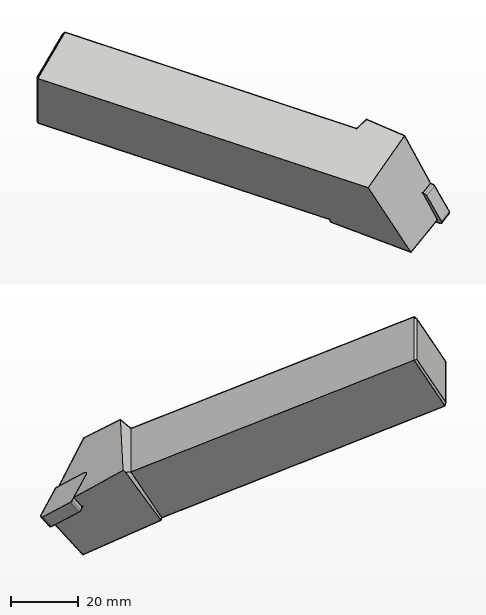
import cadquery as cq
import math


shank_size = 20.0
shank_length = 100.0
rear_chamfer = 0.6

shoulder_x = 95.0
shoulder_slope = 0.26
side_y = 24.5
side_slope_x = 0.105
side_slope_z = 0.053
bottom_z = -21.0
bottom_slope_x = 0.064
bottom_slope_y = 0.055
nose_x = 107.5
nose_slope_y = 0.07
nose_slope_z = 0.61

blank_start = 92.5
blank_length = 37.5
blank_size = 30.0
cutter_size = 125.0

insert_edge = 11.6
insert_angle = 55.0
insert_thickness = 4.8
insert_radius = 0.8
insert_tilt = 2.0
tool_length = 125.0
tool_depth = 25.0

corner_reach = insert_radius / math.sin(math.radians(insert_angle / 2))
corner_direction = math.radians(-insert_tilt - insert_angle / 2)
tip_x = tool_length - insert_radius + corner_reach * math.cos(corner_direction)
tip_z = -tool_depth + insert_radius + corner_reach * math.sin(corner_direction)

side_normal = (side_slope_x, 1, -side_slope_z)


def side_face_y(x, z):
    """Y of the tapered head side at the given X and Z."""
    rear_corner_x = shoulder_x + shoulder_slope * (side_y - shank_size)
    return side_y - side_slope_x * (x - rear_corner_x) + side_slope_z * z


def plane_off(body, point, outward):
    """Remove everything beyond the plane through point on its outward side."""
    cutter = (
        cq.Workplane(cq.Plane(origin=point, normal=outward))
        .rect(cutter_size, cutter_size)
        .extrude(cutter_size)
    )
    return body.cut(cutter)


def make_shank():
    blank = cq.Workplane("XY").box(shank_length, shank_size, shank_size, centered=False)
    return blank.translate((0, 0, -shank_size)).faces("<X").chamfer(rear_chamfer)


def make_head():
    head = cq.Workplane("XY").box(blank_length, blank_size, blank_size, centered=False)
    head = head.translate((blank_start, 0, -blank_size))
    shoulder_corner = (shoulder_x, shank_size, -shank_size)
    head = plane_off(head, shoulder_corner, (-1, shoulder_slope, 0))
    head = plane_off(head, shoulder_corner, (-1, 0, -shoulder_slope))
    head = plane_off(head, (shoulder_x, side_face_y(shoulder_x, 0), 0), side_normal)
    head = plane_off(head, (shoulder_x, 0, bottom_z), (-bottom_slope_x, -bottom_slope_y, -1))
    return plane_off(head, (nose_x, 0, 0), (1, -nose_slope_y, nose_slope_z))


def make_insert():
    """Rhombic plate lying flush in the head side, its sharp corner at the tip."""
    plate_plane = cq.Plane(
        origin=(tip_x, side_face_y(tip_x, tip_z), tip_z),
        xDir=(1, -side_slope_x, 0),
        normal=tuple(-n for n in side_normal),
    )
    lower_direction = math.radians(180 - insert_tilt)
    front_direction = lower_direction - math.radians(insert_angle)
    lower_end = (insert_edge * math.cos(lower_direction), insert_edge * math.sin(lower_direction))
    front_end = (insert_edge * math.cos(front_direction), insert_edge * math.sin(front_direction))
    far_corner = (lower_end[0] + front_end[0], lower_end[1] + front_end[1])
    return (
        cq.Workplane(plate_plane)
        .polyline([(0, 0), front_end, far_corner, lower_end])
        .close()
        .extrude(insert_thickness)
        .edges(cq.selectors.ParallelDirSelector(plate_plane.zDir))
        .fillet(insert_radius)
    )


insert = make_insert()
holder = make_shank().union(make_head()).cut(insert)

result = cq.Compound.makeCompound([holder.val(), insert.val()])